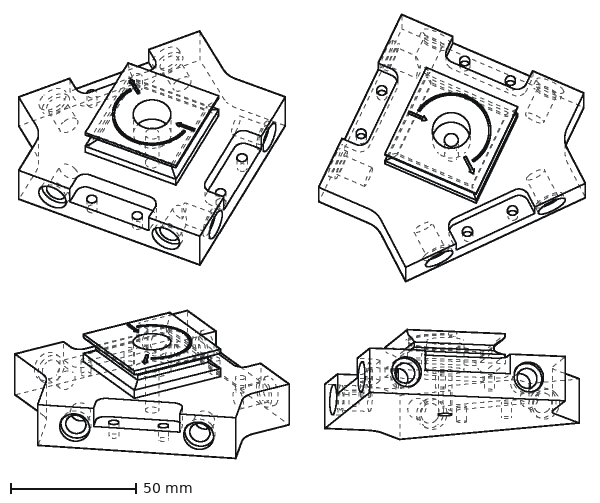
import cadquery as cq
import math

overall = 96.3
turn = 140.66
turn_rad = math.radians(turn)
half_side = overall / (1 - math.cos(turn_rad) + math.sin(turn_rad))
base_height = 18.0
total_height = 30.0
inner_corner_radius = 10.0
face_headings = (0, -90, turn)

clamp_half = 20.0
neck_half = 16.4
foot_top = base_height + 3.6
neck_bottom = foot_top + 2.1
neck_top = neck_bottom + 2.1
cove_top = neck_top + 1.8
cove_half = 19.0
cove_radius = 8.0
rim_bottom = total_height - 0.9
lip_radius = 1.8

bore_diameter = 5.5
counterbore_diameter = 15.0
counterbore_depth = total_height - base_height

pocket_width = 34.9
pocket_reach = 10.0
pocket_depth = 8.0
pocket_radius = 4.0
pin_diameter = 4.0
pin_spacing = 20.0
pin_depth = 6.0

side_hole_diameter = 8.1
side_hole_spacing = 50.1
side_hole_depth = half_side - side_hole_spacing / 2
side_recess_diameter = 12.0
side_recess_depth = 3.0

mark_depth = 0.5
arc_inner_radius = 15.0
arc_outer_radius = 15.8
arc_gap = 8.0
arrow_length = 8.0
inward_arrow_tip = 10.7
outward_arrow_tip = 20.3
arrow_head_length = 1.7
arrow_head_half = 1.1
arrow_shaft_half = 0.5


def turned(solid, heading):
    return solid.rotate((0, 0, 0), (0, 0, 1), heading)


def polar_point(radius, heading):
    angle = math.radians(heading)
    return (radius * math.cos(angle), radius * math.sin(angle))


def side_corner(first, second):
    """Meeting point of two sides that both lie half_side from the centre, given their headings."""
    distance = half_side / math.cos(math.radians((second - first) / 2))
    return polar_point(distance, (first + second) / 2)


def make_base():
    sides = (0, 90, turn - 90, turn, turn + 90, 180, 270, 360)
    corners = [side_corner(first, second) for first, second in zip(sides, sides[1:])]
    base = cq.Workplane("XY").polyline(corners).close().extrude(base_height)
    for x, y in (side_corner(90, turn - 90), side_corner(turn + 90, 180)):
        inner_edge = cq.selectors.NearestToPointSelector((x, y, base_height / 2))
        base = base.edges(inner_edge).fillet(inner_corner_radius)
    return base


def make_clamp_bar(plane):
    """Straight bar with the clamp's outline on both sides, as long as the clamp is wide."""
    bar = (
        cq.Workplane(plane)
        .moveTo(0, base_height)
        .lineTo(clamp_half, base_height)
        .lineTo(clamp_half, foot_top)
        .radiusArc((neck_half, neck_bottom), cove_radius)
        .lineTo(neck_half, neck_top)
        .radiusArc((cove_half, cove_top), cove_radius)
        .radiusArc((clamp_half, rim_bottom), -lip_radius)
        .lineTo(clamp_half, total_height)
        .lineTo(0, total_height)
        .close()
        .extrude(clamp_half, both=True)
    )
    return bar.union(turned(bar, 180))


def make_pocket():
    pocket = (
        cq.Workplane("XY", origin=(half_side, 0, base_height - pocket_depth))
        .rect(2 * pocket_reach, pocket_width)
        .extrude(pocket_depth)
        .edges("|Z")
        .fillet(pocket_radius)
    )
    pins = (
        cq.Workplane("XY", origin=(half_side - pocket_reach / 2, 0, base_height - pocket_depth))
        .pushPoints([(0, -pin_spacing / 2), (0, pin_spacing / 2)])
        .circle(pin_diameter / 2)
        .extrude(-pin_depth)
    )
    return pocket.union(pins)


def make_side_holes():
    face = cq.Workplane("YZ", origin=(half_side, 0, base_height / 2))
    spots = [(-side_hole_spacing / 2, 0), (side_hole_spacing / 2, 0)]
    holes = face.pushPoints(spots).circle(side_hole_diameter / 2).extrude(-side_hole_depth)
    recesses = face.pushPoints(spots).circle(side_recess_diameter / 2).extrude(-side_recess_depth)
    return holes.union(recesses)


def make_centre_bore():
    bore = cq.Workplane("XY").circle(bore_diameter / 2).extrude(total_height)
    counterbore = (
        cq.Workplane("XY", origin=(0, 0, total_height))
        .circle(counterbore_diameter / 2)
        .extrude(-counterbore_depth)
    )
    return bore.union(counterbore)


def make_arrow(tip, tail):
    """Arrow along the X axis, from tail to tip."""
    head_back = tip + math.copysign(arrow_head_length, tail - tip)
    return (
        cq.Workplane("XY", origin=(0, 0, total_height - mark_depth))
        .moveTo(tip, 0)
        .lineTo(head_back, arrow_head_half)
        .lineTo(head_back, arrow_shaft_half)
        .lineTo(tail, arrow_shaft_half)
        .lineTo(tail, -arrow_shaft_half)
        .lineTo(head_back, -arrow_shaft_half)
        .lineTo(head_back, -arrow_head_half)
        .close()
        .extrude(mark_depth)
    )


def make_arc_mark():
    """Curved band running clockwise from the inward arrow to the outward one."""
    start = -arc_gap
    end = turn + arc_gap - 360
    middle = (start + end) / 2
    return (
        cq.Workplane("XY", origin=(0, 0, total_height - mark_depth))
        .moveTo(*polar_point(arc_inner_radius, start))
        .threePointArc(polar_point(arc_inner_radius, middle), polar_point(arc_inner_radius, end))
        .lineTo(*polar_point(arc_outer_radius, end))
        .threePointArc(polar_point(arc_outer_radius, middle), polar_point(arc_outer_radius, start))
        .close()
        .extrude(mark_depth)
    )


clamp = make_clamp_bar("XZ").intersect(make_clamp_bar("YZ"))
result = make_base().union(clamp)

for heading in face_headings:
    result = result.cut(turned(make_pocket(), heading))
    result = result.cut(turned(make_side_holes(), heading))

result = result.cut(make_centre_bore())

result = result.cut(make_arrow(inward_arrow_tip, inward_arrow_tip + arrow_length))
result = result.cut(turned(make_arrow(outward_arrow_tip, outward_arrow_tip - arrow_length), turn))
result = result.cut(make_arc_mark())